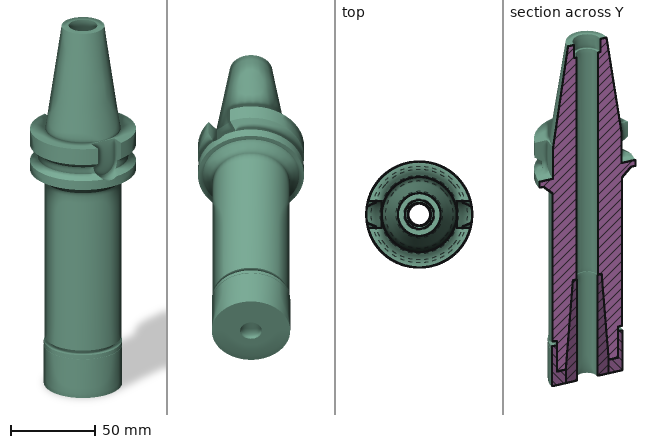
import cadquery as cq

total_length = 230.5

taper_tip_radius = 12.7
taper_base_radius = 22.23
taper_base_z = 164.7

flange_radius = 31.45
groove_radius = 26.85
flange_top_z = 164.0
groove_upper_rim_z = 154.0
groove_floor_top_z = 150.5
groove_floor_bottom_z = 146.0
groove_lower_rim_z = 143.5
flange_bottom_z = 137.8

shaft_radius = 22.8
cone_height = 5.8
cone_bottom_z = flange_bottom_z - cone_height
cone_top_radius = shaft_radius + cone_height
shaft_bottom_z = 30.5
neck_radius = 20.0

slot_width = 16.1
slot_floor_x = 22.46
slot_bottom_z = 142.2

counterbore_radius = 8.5
counterbore_depth = 9.0
bore_radius = 7.0

nut_radius = 23.3
nut_height = 27.6
nut_groove_radius = 23.0
nut_groove_top_z = 25.3
nut_groove_bottom_z = 24.9

collet_bore_radius = 6.5
collet_nose_radius = 13.8
collet_top_radius = 9.2
collet_top_z = 69.1
neck_bottom_z = 9.2


def revolve_profile(points):
    """Turn a closed (radius, z) outline around the Z axis."""
    return cq.Workplane("XZ").polyline(points).close().revolve(360, (0, 0), (0, 1))


def make_slot_cutter(side):
    """Round-bottomed drive slot, open at the flange top, on the +X or -X side."""
    slot_radius = slot_width / 2
    arc_center_z = slot_bottom_z + slot_radius
    return (
        cq.Workplane("YZ", origin=(side * slot_floor_x, 0, 0))
        .moveTo(-slot_radius, flange_top_z)
        .lineTo(-slot_radius, arc_center_z)
        .threePointArc((0, slot_bottom_z), (slot_radius, arc_center_z))
        .lineTo(slot_radius, flange_top_z)
        .close()
        .extrude(side * flange_radius)
    )


def make_holder():
    """Taper shank, flange, shaft and neck, bored through with a collet seat."""
    counterbore_floor_z = total_length - counterbore_depth
    holder = revolve_profile([
        (counterbore_radius, total_length),
        (taper_tip_radius, total_length),
        (taper_base_radius, taper_base_z),
        (taper_base_radius, flange_top_z),
        (flange_radius, flange_top_z),
        (flange_radius, groove_upper_rim_z),
        (groove_radius, groove_floor_top_z),
        (groove_radius, groove_floor_bottom_z),
        (flange_radius, groove_lower_rim_z),
        (flange_radius, flange_bottom_z),
        (cone_top_radius, flange_bottom_z),
        (shaft_radius, cone_bottom_z),
        (shaft_radius, shaft_bottom_z),
        (neck_radius, shaft_bottom_z),
        (neck_radius, neck_bottom_z),
        (collet_nose_radius, neck_bottom_z),
        (collet_top_radius, collet_top_z),
        (bore_radius, collet_top_z),
        (bore_radius, counterbore_floor_z),
        (counterbore_radius, counterbore_floor_z),
    ])
    for side in (-1, 1):
        holder = holder.cut(make_slot_cutter(side))
    return holder


def make_nut():
    """Cap nut that surrounds the holder neck and the collet nose."""
    return revolve_profile([
        (collet_nose_radius, 0),
        (nut_radius, 0),
        (nut_radius, nut_groove_bottom_z),
        (nut_groove_radius, nut_groove_bottom_z),
        (nut_groove_radius, nut_groove_top_z),
        (nut_radius, nut_groove_top_z),
        (nut_radius, nut_height),
        (neck_radius, nut_height),
        (neck_radius, neck_bottom_z),
        (collet_nose_radius, neck_bottom_z),
    ])


def make_collet():
    """Tapered sleeve that fills the holder seat and ends flush with the nut."""
    return revolve_profile([
        (collet_bore_radius, 0),
        (collet_nose_radius, 0),
        (collet_nose_radius, neck_bottom_z),
        (collet_top_radius, collet_top_z),
        (collet_bore_radius, collet_top_z),
    ])


holder = make_holder()
nut = make_nut()
collet = make_collet()

result = cq.Compound.makeCompound([holder.val(), nut.val(), collet.val()])